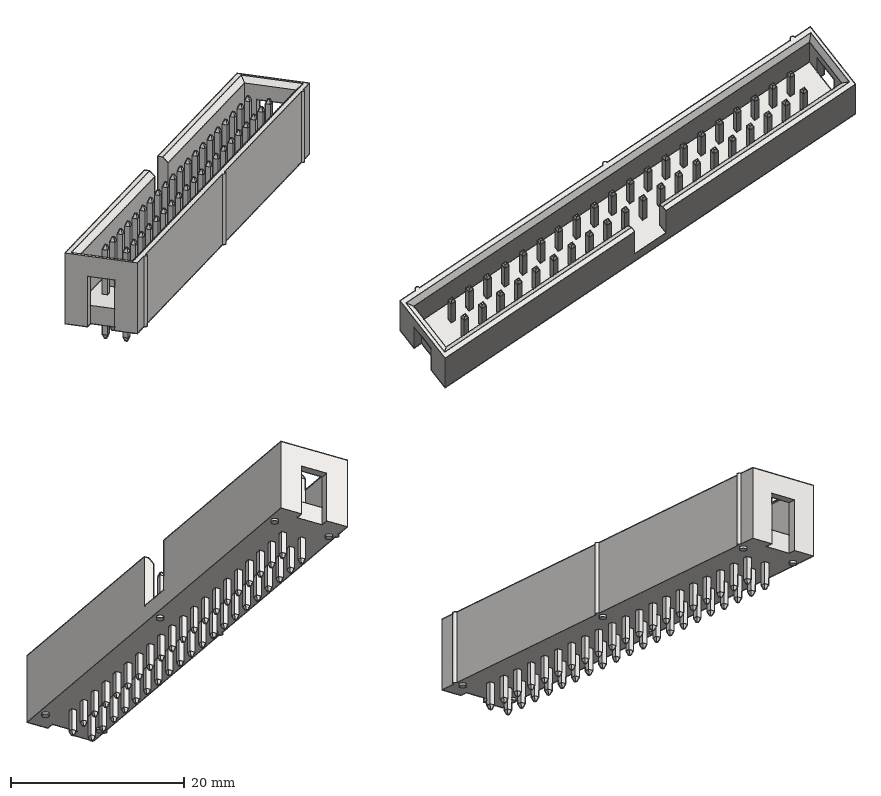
import cadquery as cq


housing_width = 8.9
housing_length = 58.45
housing_height = 8.8
floor_height = 2.3

side_wall = 1.3
end_wall = 1.05
lead_in = 0.65
cavity_width = housing_width - 2 * side_wall
cavity_length = housing_length - 2 * end_wall

key_slot_width = 4.45
end_slot_width = 3.35
end_slot_top = 6.3

pin_rows = 2
pins_per_row = 20
pin_row_length = 48.3
pin_pitch = pin_row_length / (pins_per_row - 1)
pin_side = 0.65
pin_tip_side = 0.25
pin_tip_length = 0.5
pin_top = 8.35
pin_bottom = -3.3

rib_radius = 0.3
rib_end_distance = 2.5

foot_diameter = 0.9
foot_height = 0.3
foot_side_distance = 0.8
foot_end_distance = 2.85


def stations_along_length(end_distance):
    """Y places near both ends and at the middle of the housing."""
    reach = housing_length / 2 - end_distance
    return (-reach, 0, reach)


def make_housing():
    body = cq.Workplane("XY").box(
        housing_width, housing_length, housing_height, centered=(True, True, False)
    )
    cavity = (
        cq.Workplane("XY", origin=(0, 0, floor_height))
        .rect(cavity_width, cavity_length)
        .extrude(housing_height - floor_height)
    )
    mouth = (
        cq.Workplane("XY", origin=(0, 0, housing_height - lead_in))
        .rect(cavity_width, cavity_length)
        .workplane(offset=lead_in)
        .rect(cavity_width + 2 * lead_in, cavity_length + 2 * lead_in)
        .loft(ruled=True)
    )
    return body.cut(cavity).cut(mouth)


def make_key_slot():
    """Open-topped slot through the -X wall, down to the cavity floor."""
    return (
        cq.Workplane("XY", origin=(-(housing_width - side_wall) / 2, 0, floor_height))
        .rect(side_wall, key_slot_width)
        .extrude(housing_height - floor_height)
    )


def make_end_slots():
    """Slots through both end walls, open at the underside."""
    end_centre = (housing_length - end_wall) / 2
    return (
        cq.Workplane("XY")
        .pushPoints([(0, -end_centre), (0, end_centre)])
        .rect(end_slot_width, end_wall)
        .extrude(end_slot_top)
    )


def make_pin():
    """Square pin with a pyramidal tip at each end."""
    shank_top = pin_top - pin_tip_length
    shank_bottom = pin_bottom + pin_tip_length
    pin = (
        cq.Workplane("XY", origin=(0, 0, shank_bottom))
        .rect(pin_side, pin_side)
        .extrude(shank_top - shank_bottom)
    )
    for shank_end, tip_offset in ((shank_top, pin_tip_length), (shank_bottom, -pin_tip_length)):
        tip = (
            cq.Workplane("XY", origin=(0, 0, shank_end))
            .rect(pin_side, pin_side)
            .workplane(offset=tip_offset)
            .rect(pin_tip_side, pin_tip_side)
            .loft(ruled=True)
        )
        pin = pin.union(tip)
    return pin


def make_pins():
    pin = make_pin().val()
    return (
        cq.Workplane("XY")
        .rarray(pin_pitch, pin_pitch, pin_rows, pins_per_row)
        .eachpoint(lambda location: pin.moved(location))
    )


def make_ribs():
    """Full-height round ribs, half sunk into the +X wall."""
    places = [(housing_width / 2, y) for y in stations_along_length(rib_end_distance)]
    return cq.Workplane("XY").pushPoints(places).circle(rib_radius).extrude(housing_height)


def make_feet():
    foot_x = housing_width / 2 - foot_side_distance
    places = [(x, y) for x in (-foot_x, foot_x) for y in stations_along_length(foot_end_distance)]
    return cq.Workplane("XY").pushPoints(places).circle(foot_diameter / 2).extrude(-foot_height)


result = (
    make_housing()
    .cut(make_key_slot())
    .cut(make_end_slots())
    .union(make_ribs())
    .union(make_feet())
    .union(make_pins())
)